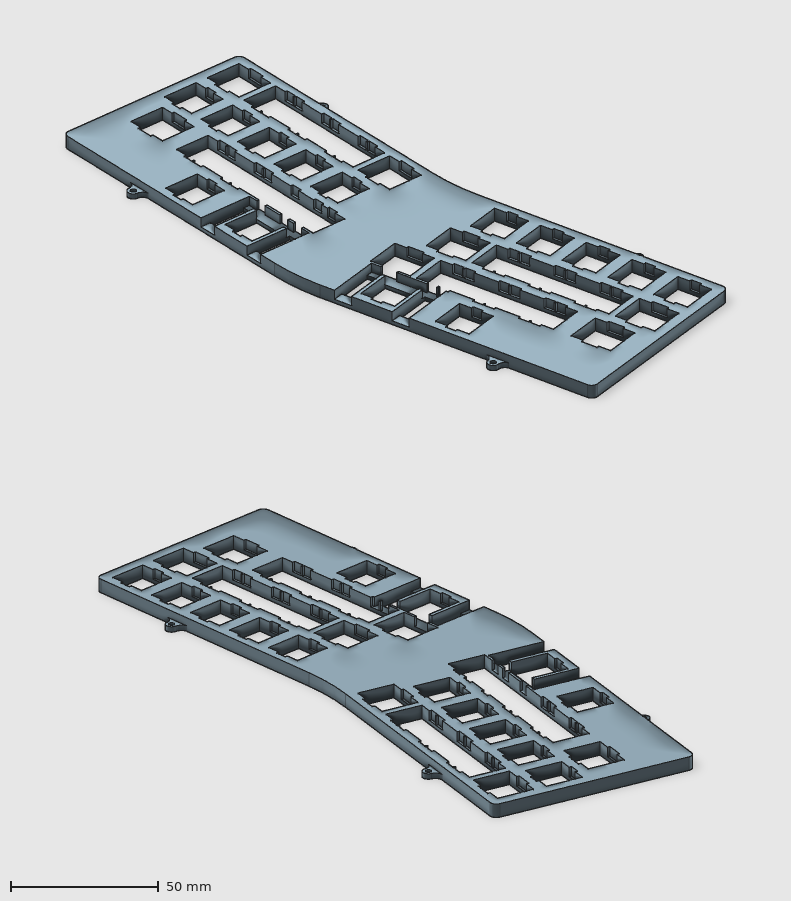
import cadquery as cq
import math

LEFT, RIGHT = -1, 1
tilt = 7.0
thickness = 5.0
ledge_thickness = 1.5

back_edge = 31.8
front_edge = -46.8
outer_end = {LEFT: 115.0, RIGHT: 118.5}
corner_radius = 2.5
bend_radius = 85.0

key_unit_count = 4
key_run_length = 76.2
pitch = key_run_length / key_unit_count
first_row = 20.9
home_column = {LEFT: 27.7, RIGHT: 31.0}
cutout = 14.0
clip_width = 4.1
clip_depth = 1.0

back_rib = 1.0
pocket_half_width = 15.5
block_half_width = 8.5
slot_back = 8.5
slot_front = 6.3

lug_overhang = 2.7
lug_radius = 2.2
lug_hole_diameter = 2.1
lug_base_width = 9.0
lug_thickness = 2.06
lug_column = 2.5
flare_half_width = 2.7
flare_reach = 1.2

THUMB_ROW = 3
TWO_POSITION_TRIO = [(0.75, 1.0), (1.75, 2.0), (2.75, 3.0)]
SINGLE_KEYS = [(column, column) for column in range(key_unit_count + 1)]
OPENINGS = {
    LEFT: [
        (0, [(3.875, 4.0)]),
        (0, TWO_POSITION_TRIO),
        (0, [(-0.25, -0.125)]),
        *[(1, [key]) for key in SINGLE_KEYS],
        (2, [(3.625, 3.75)]),
        (2, [(-0.5, -0.5), (-0.125, -0.125), (0.5, 0.5), (1.25, 1.5), (2.25, 2.5)]),
        (THUMB_ROW, [(1.625, 1.625)]),
    ],
    RIGHT: [
        *[(0, [key]) for key in SINGLE_KEYS],
        (1, [(-0.25, -0.125)]),
        (1, TWO_POSITION_TRIO),
        (1, [(3.875, 4.0)]),
        (2, [(-0.75, -0.625)]),
        (2, [(0.25, 0.5), (1.25, 1.5), (2.25, 2.5)]),
        (2, [(3.625, 3.75)]),
        (THUMB_ROW, [(1.375, 1.375)]),
    ],
}
THUMB_COLUMN = {LEFT: 0.0, RIGHT: -0.25}


def place(solid, side):
    """Tilt a solid from its half frame into the plate."""
    return solid.rotate((0, 0, 0), (0, 0, 1), side * tilt)


def column_out(side, column):
    return home_column[side] + column * pitch


def row_up(row):
    return first_row - row * pitch


def half_box(side, out_range, up_range, z_range):
    """Box between the given limits of a half frame."""
    (out_0, out_1), (up_0, up_1), (z_0, z_1) = out_range, up_range, z_range
    box = (
        cq.Workplane("XY", origin=(side * (out_0 + out_1) / 2, (up_0 + up_1) / 2, z_0))
        .rect(out_1 - out_0, up_1 - up_0)
        .extrude(z_1 - z_0)
    )
    return place(box, side)


def plate_point(side, out, up):
    """Plate coordinates of a point in a half frame."""
    angle = math.radians(side * tilt)
    x = side * out
    return (x * math.cos(angle) - up * math.sin(angle), x * math.sin(angle) + up * math.cos(angle))


def centre_point(up):
    """Point where the same long edge of both halves meets on the centre line."""
    return (0, up / math.cos(math.radians(tilt)))


def round_upright_edge(plate, point, radius):
    nearest = cq.selectors.NearestToPointSelector((*point, thickness / 2))
    return plate.edges("|Z").edges(nearest).fillet(radius)


def bare_plate():
    plate = (
        cq.Workplane("XY")
        .polyline([
            centre_point(back_edge),
            plate_point(LEFT, outer_end[LEFT], back_edge),
            plate_point(LEFT, outer_end[LEFT], front_edge),
            centre_point(front_edge),
            plate_point(RIGHT, outer_end[RIGHT], front_edge),
            plate_point(RIGHT, outer_end[RIGHT], back_edge),
        ])
        .close()
        .extrude(thickness)
    )
    for up in (front_edge, back_edge):
        plate = round_upright_edge(plate, centre_point(up), bend_radius)
        for side in (LEFT, RIGHT):
            plate = round_upright_edge(plate, plate_point(side, outer_end[side], up), corner_radius)
    return plate


def key_opening(side, row, keys, notched_back=True):
    """Through opening for a run of keys, with clip notches along its long edges."""
    up = row_up(row)
    half = cutout / 2
    out_0 = column_out(side, min(inner for inner, _ in keys)) - half
    out_1 = column_out(side, max(outer for _, outer in keys)) + half
    opening = half_box(side, (out_0, out_1), (up - half, up + half), (0, thickness))
    back_reach = clip_depth if notched_back else 0
    notch_up = (up - half - clip_depth, up + half + back_reach)
    for column in sorted({limit for key in keys for limit in key}):
        out = column_out(side, column)
        notch_out = (out - clip_width / 2, out + clip_width / 2)
        opening = opening.union(half_box(side, notch_out, notch_up, (ledge_thickness, thickness)))
    return opening


def thumb_cut(side):
    """Thumb key opening in a full-height block, with a stabilizer pocket and slots around it."""
    column = THUMB_COLUMN[side]
    out = column_out(side, column)
    up = row_up(THUMB_ROW)
    pocket_out = (out - pocket_half_width, out + pocket_half_width)
    block_out = (out - block_half_width, out + block_half_width)
    pocket_back = row_up(THUMB_ROW - 1) - cutout / 2 - back_rib
    past_front = front_edge - corner_radius

    pocket = half_box(side, pocket_out, (past_front, pocket_back), (ledge_thickness, thickness))
    block = half_box(side, block_out, (past_front, up + cutout / 2), (ledge_thickness, thickness))
    cut = pocket.cut(block)
    for slot_out in ((pocket_out[0], block_out[0]), (block_out[1], pocket_out[1])):
        cut = cut.union(half_box(side, slot_out, (up - slot_front, up + slot_back), (0, thickness)))
    return cut.union(key_opening(side, THUMB_ROW, [(column, column)], notched_back=False))


def lug(side, edge, outward):
    """Eyelet on a long edge of the plate, flared into the edge by concave arcs."""
    centre = side * column_out(side, lug_column)
    eye = edge + outward * lug_overhang
    flare_up = edge + outward * flare_reach
    base = lug_base_width / 2
    flare = (
        cq.Workplane("XY")
        .moveTo(centre - base, edge)
        .threePointArc((centre - flare_half_width, flare_up), (centre - lug_radius, eye))
        .lineTo(centre + lug_radius, eye)
        .threePointArc((centre + flare_half_width, flare_up), (centre + base, edge))
        .close()
        .extrude(lug_thickness)
    )
    eyelet = cq.Workplane("XY").center(centre, eye)
    ring = eyelet.circle(lug_radius).extrude(lug_thickness)
    hole = eyelet.circle(lug_hole_diameter / 2).extrude(lug_thickness)
    return place(flare.union(ring).cut(hole), side)


result = bare_plate()
for side in (LEFT, RIGHT):
    for edge, outward in ((back_edge, 1), (front_edge, -1)):
        result = result.union(lug(side, edge, outward))
    for row, keys in OPENINGS[side]:
        result = result.cut(key_opening(side, row, keys))
    result = result.cut(thumb_cut(side))